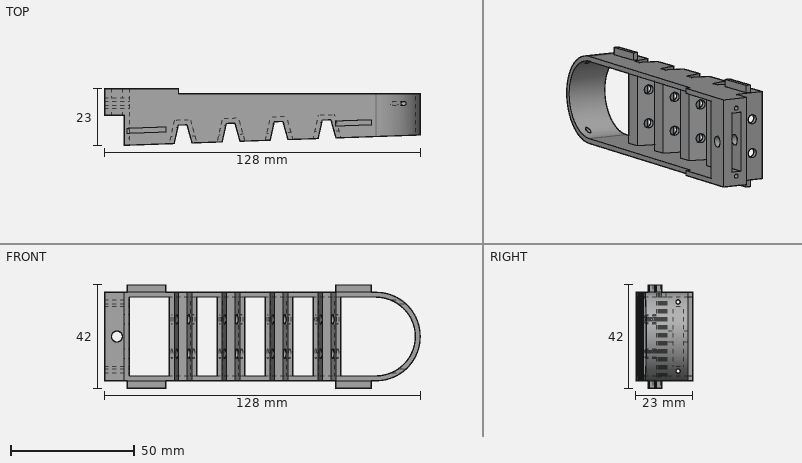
import cadquery as cq
import math

length = 128.0
height = 36.0
wall = 2.0
tilt = math.radians(2.0)
front_depth = 23.0

block_depth = 10.9
ledge = 8.0
rear_pad_length = 30.0
rear_pad_depth = 2.0
block_hole_x = 5.0
block_hole_diameter = 4.4
rear_line_y = -6.0
slot_width = 4.2
slot_height = 24.3
end_hole_spacing = 28.0
end_hole_diameter = 1.7

first_groove_x = 31.6
groove_pitch = 19.5
groove_count = 4
groove_floor_width = 3.5
groove_depth = 7.4
left_flank_run = 1.7
right_flank_run = 2.0
mouth_clearance = 1.3

bay_hole_spacing = 14.0
bay_hole_diameter = 3.7
bay_hole_inset = 4.7

lug_spans = [(9.1, 24.8), (93.7, 108.2)]
height_over_lugs = 42.0
lug_thickness = 2.0
lug_inset = 5.9

half_height = height / 2
bend_x = length - half_height
cavity_start = ledge + wall
groove_xs = [first_groove_x + i * groove_pitch for i in range(groove_count)]


def front_y(x):
    """Y of the sloping front face at x."""
    return -front_depth + (x - ledge) * math.tan(tilt)


def plan_prism(points, total_height):
    """Prism on an XY outline, centred on Z = 0."""
    return cq.Workplane("XY").polyline(points).close().extrude(total_height / 2, both=True)


def round_ended_prism(start_x, radius):
    """Prism along Y whose outline is square at start_x and a half circle at the right."""
    return (
        cq.Workplane("XZ")
        .moveTo(start_x, -radius)
        .lineTo(bend_x, -radius)
        .threePointArc((bend_x + radius, 0), (bend_x, radius))
        .lineTo(start_x, radius)
        .close()
        .extrude(front_depth)
    )


def paired_circles(spacing, diameter):
    """Pair of circles spread in Z, ready to extrude along X."""
    return (
        cq.Workplane("YZ")
        .pushPoints([(0, -spacing / 2), (0, spacing / 2)])
        .circle(diameter / 2)
    )


def groove(x, skin=0.0):
    """Tapered groove about x, thickened by skin on its flanks and floor."""
    half_floor = groove_floor_width / 2
    left_slope = left_flank_run / groove_depth
    right_slope = right_flank_run / groove_depth

    def corner(side, slope, inward):
        corner_x = x + side * (half_floor + skin + (groove_depth - inward) * slope)
        return corner_x, front_y(corner_x) + inward

    mouth = -mouth_clearance
    floor = groove_depth + skin
    return plan_prism(
        [
            corner(-1, left_slope, mouth),
            corner(-1, left_slope, floor),
            corner(1, right_slope, floor),
            corner(1, right_slope, mouth),
        ],
        height,
    )


def make_body():
    outline = plan_prism(
        [
            (0, 0),
            (rear_pad_length, 0),
            (rear_pad_length, -rear_pad_depth),
            (length, -rear_pad_depth),
            (length, front_y(length)),
            (ledge, front_y(ledge)),
            (ledge, -block_depth),
            (0, -block_depth),
        ],
        height,
    )
    return outline.intersect(round_ended_prism(0, half_height))


def make_cavity():
    """Space open at front and rear, leaving a skin around every groove."""
    cavity = round_ended_prism(cavity_start, half_height - wall)
    for x in groove_xs:
        cavity = cavity.cut(groove(x, wall))
    return cavity


def make_lug(start_x, end_x):
    """Bar parallel to the front face, standing out of the upper and lower faces."""
    rear = lug_inset + lug_thickness / 2
    front = lug_inset - lug_thickness / 2
    return plan_prism(
        [
            (start_x, front_y(start_x) + front),
            (end_x, front_y(end_x) + front),
            (end_x, front_y(end_x) + rear),
            (start_x, front_y(start_x) + rear),
        ],
        height_over_lugs,
    )


def make_bay_holes():
    """Holes parallel to the front face, from the left wall to the last bay's wall."""
    run = groove_xs[-1] + groove_floor_width + right_flank_run + wall
    return (
        paired_circles(bay_hole_spacing, bay_hole_diameter)
        .extrude(run)
        .rotate((0, 0, 0), (0, 0, 1), math.degrees(tilt))
        .translate((0, front_y(0) + bay_hole_inset, 0))
    )


def make_block_cuts():
    slot = cq.Workplane("XY").box(
        cavity_start, slot_width, slot_height, centered=(False, True, True)
    )
    end_holes = paired_circles(end_hole_spacing, end_hole_diameter).extrude(length)
    cross_hole = (
        cq.Workplane("XZ")
        .center(block_hole_x, 0)
        .circle(block_hole_diameter / 2)
        .extrude(block_depth)
    )
    return slot.union(end_holes).translate((0, rear_line_y, 0)).union(cross_hole)


result = make_body()
for lug_start, lug_end in lug_spans:
    result = result.union(make_lug(lug_start, lug_end))
for groove_x in groove_xs:
    result = result.cut(groove(groove_x))
result = result.cut(make_cavity()).cut(make_bay_holes()).cut(make_block_cuts())